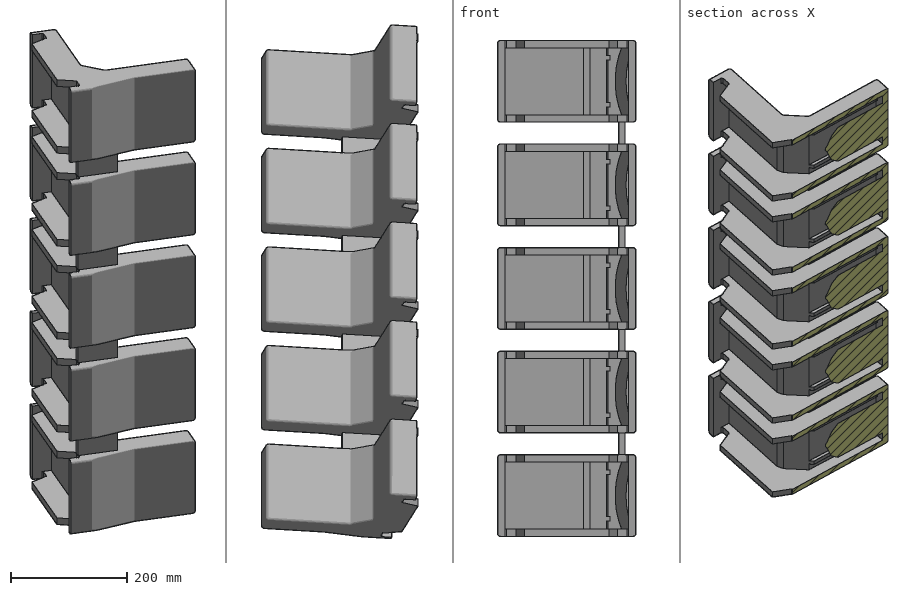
import cadquery as cq

total_height = 852.0
module_count = 5
module_height = 141.0
width = 238.0
depth = 240.0
plate = 13.0

pitch = (total_height - module_height) / (module_count - 1)
gap = pitch - module_height
clearance = 8.5
inner_height = module_height - 2 * plate
mid_height = module_height / 2

arm_top = 58.0
gusset_start_x = 146.5
upright_left = 176.0
gusset_top = 91.0
upright_right = 221.5
taper_top = 130.0
taper_bottom = 48.5
edge_radius = 5.5
thin_edge_radius = 2.5

flange_bottom = 11.0
notch_top = 31.0
notch_corner = 2.5
notch_width = 19.0
slope_run = 14.5

arm_floor = arm_top - plate
step_start_x = 147.0
step_end_x = 158.5
step_rise = 5.0
upright_inner_left = 187.5
upright_draft = 2.5
thin_wall = 8.5
upright_inner_right = upright_right - thin_wall
flange_inner_right = width - plate
cavity_top = depth - plate

gusset_slope = (gusset_top - arm_top) / (upright_left - gusset_start_x)
gusset_inner_top = arm_floor + step_rise + gusset_slope * (upright_inner_left - step_end_x)
taper_lean = (width - upright_right) / (taper_top - taper_bottom)

bulge_height = 11.0
bulge_bottom = 36.0
bulge_root = 4.0
rib_offset = 40.0
rib_width = 8.0
rib_reach = 6.0

strap_left = 208.0
strap_thickness = 11.0
strap_bottom = 29.0
strap_width = 71.5


def taper_inner_x(y):
    """X of the inside of the tapered wall at a given Y."""
    return upright_inner_right + taper_lean * (taper_top - y)


def block():
    """Solid L profile with rounded outer edges and a straight lower side."""
    body = (
        cq.Workplane("XY")
        .polyline([
            (0, 0),
            (width, 0),
            (width, taper_bottom),
            (upright_right, taper_top),
            (upright_right, depth),
            (upright_left, depth),
            (upright_left, gusset_top),
            (gusset_start_x, arm_top),
            (0, arm_top),
        ])
        .close()
        .extrude(module_height)
    )
    left_of_upright = cq.selectors.BoxSelector(
        (-clearance, arm_top - clearance, -clearance),
        (upright_left + clearance, depth + clearance, module_height + clearance),
    )
    body = body.edges("|Z").edges(left_of_upright).fillet(edge_radius)

    right_side = cq.selectors.BoxSelector(
        (upright_right - clearance, taper_bottom, -clearance),
        (width + clearance, depth + clearance, module_height + clearance),
    )
    all_but_bottom = cq.selectors.StringSyntaxSelector("not <Y")
    other_sides = cq.selectors.SubtractSelector(all_but_bottom, right_side)
    body = body.faces("<Z or >Z").edges(other_sides).fillet(edge_radius)
    return body.faces("<Z or >Z").edges(right_side).fillet(thin_edge_radius)


def foot_relief(side_x, inward):
    """Material removed below one flange and beside it; inward is +1 or -1 along X."""
    foot_x = plate + notch_width + slope_run
    outline = [
        (-clearance, -clearance),
        (-clearance, flange_bottom),
        (plate, flange_bottom),
        (plate, notch_top - notch_corner),
        (plate + notch_corner, notch_top),
        (plate + notch_width, notch_top),
        (foot_x, 0),
        (foot_x, -clearance),
    ]
    points = [(side_x + inward * x, y) for x, y in outline]
    return cq.Workplane("XY").polyline(points).close().extrude(module_height)


def cavity():
    """Space between the two end plates."""
    flange_meet_y = taper_top - (flange_inner_right - upright_inner_right) / taper_lean
    return (
        cq.Workplane("XY", origin=(0, 0, plate))
        .polyline([
            (plate, 0),
            (plate, arm_floor),
            (step_start_x, arm_floor),
            (step_end_x, arm_floor + step_rise),
            (upright_inner_left, gusset_inner_top),
            (upright_inner_left + upright_draft, cavity_top),
            (upright_inner_right, cavity_top),
            (upright_inner_right, taper_top),
            (flange_inner_right, flange_meet_y),
            (flange_inner_right, 0),
        ])
        .close()
        .extrude(inner_height)
    )


def bulge_section(x, y):
    """Arched section of the bulge across Z, its chord at the given X and Y."""
    plane = cq.Plane(origin=(x, y, plate), xDir=(1, 0, 0), normal=(0, -1, 0))
    return (
        cq.Workplane(plane)
        .threePointArc((-bulge_height, inner_height / 2), (0, inner_height))
        .lineTo(bulge_root, inner_height)
        .lineTo(bulge_root, 0)
        .close()
        .val()
    )


def bulge():
    """Arched thickening along the upright's right wall and down its taper."""
    top = bulge_section(upright_inner_right, cavity_top)
    bend = bulge_section(upright_inner_right, taper_top)
    low = bulge_section(taper_inner_x(bulge_bottom), bulge_bottom)
    upper = cq.Workplane(cq.Solid.makeLoft([top, bend], True))
    return upper.union(cq.Workplane(cq.Solid.makeLoft([bend, low], True)))


def rib(z):
    """Small rib on the left wall of the upright cavity, its front in line with the gusset wall."""
    tip_x = upright_inner_left + rib_reach
    return (
        cq.Workplane("XY", origin=(0, 0, z - rib_width / 2))
        .polyline([
            (upright_inner_left, gusset_inner_top),
            (tip_x, gusset_inner_top + gusset_slope * rib_reach),
            (tip_x, depth - plate / 2),
            (upright_inner_left, depth - plate / 2),
        ])
        .close()
        .extrude(rib_width)
    )


def make_module():
    """One complete module, standing on Z = 0."""
    body = block().cut(foot_relief(0, 1)).cut(foot_relief(width, -1))
    body = body.cut(cavity()).union(bulge())
    for offset in (-rib_offset, rib_offset):
        body = body.union(rib(mid_height + offset))
    return body


def strap(z):
    """Flat strap filling the gap that starts at height z."""
    return (
        cq.Workplane("XY")
        .box(strap_thickness, strap_width, gap, centered=False)
        .translate((strap_left, strap_bottom, z))
    )


module = make_module()
result = module
for index in range(1, module_count):
    base = index * pitch
    result = result.union(module.translate((0, 0, base))).union(strap(base - gap))